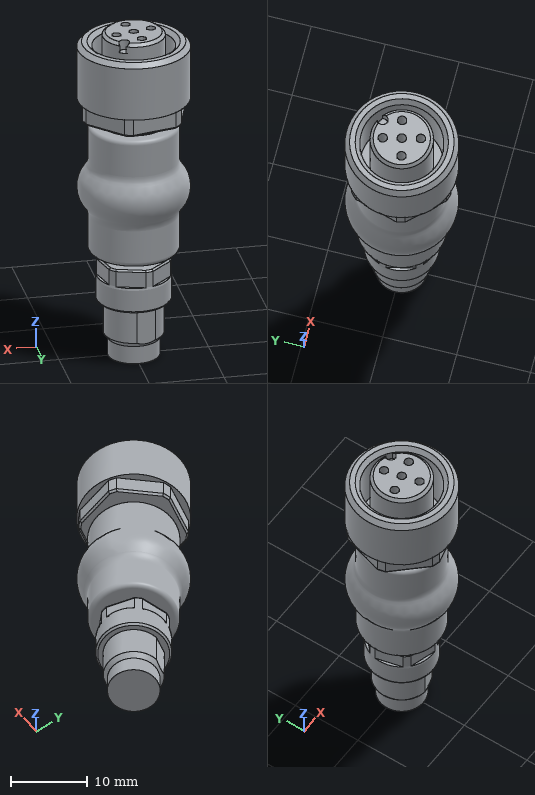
import cadquery as cq
import math


total_height = 46.2
clocking_angle = 13.4

grip_radius = 6.05
grip_bottom_z = 14.95
grip_top_z = 33.13
grip_edge_fillet = 0.65
bulge_radius = 7.5
bulge_arc_radius = 4.0
bulge_blend_radius = 2.0

upper_neck_radius = 4.3
lower_neck_radius = 2.9
insert_radius = 4.15
insert_chamfer = 0.4
contact_radius = 0.6
contact_circle_radius = 2.5
contact_depth = 4.6
key_radius = 0.7
key_offset = 3.6
key_angle = 45.0
key_depth = 1.4

coupling_radius = 7.5
coupling_bottom_z = 34.25
coupling_hex_top_z = 36.8
coupling_top_z = 44.8
coupling_chamfer = 0.65
coupling_bore_radius = 5.5
coupling_bore_chamfer = 0.6
coupling_hex_apothem = 6.5
coupling_hex_corner_radius = 7.2
coupling_hex_chamfer = 0.3
coupling_hex_angle = 30.0

screw_top_z = 13.85
screw_hex_apothem = 4.5
screw_hex_corner_radius = 4.9
screw_hex_chamfer = 0.25
collar_radius = 5.0
collar_bottom_z = 7.9
collar_top_z = 11.45
collar_top_chamfer_height = 0.32
collar_bottom_chamfer = 0.3
thread_radius = 4.0
thread_bottom_z = 3.2
thread_flat_offset = 3.8
nose_radius = 3.45
nose_top_z = 2.5


def cylinder(radius, bottom_z, top_z):
    return cq.Workplane("XY").workplane(offset=bottom_z).circle(radius).extrude(top_z - bottom_z)


def rounded_hexagon(apothem, corner_radius, bottom_z, top_z, angle):
    """Hexagonal prism with its corners turned down to a round; one flat faces the given angle."""
    corner_distance = apothem / math.cos(math.radians(30))
    hexagon = (
        cq.Workplane("XY")
        .workplane(offset=bottom_z)
        .polygon(6, 2 * corner_distance)
        .extrude(top_z - bottom_z)
        .rotate((0, 0, 0), (0, 0, 1), angle + 30)
    )
    return hexagon.intersect(cylinder(corner_radius, bottom_z, top_z))


def make_grip():
    """Revolved grip whose bulge is a convex arc blended tangentially into the straight ends."""
    middle_z = (grip_bottom_z + grip_top_z) / 2
    centre_distance = bulge_arc_radius + bulge_blend_radius
    bulge_centre_x = bulge_radius - bulge_arc_radius
    blend_centre_x = grip_radius + bulge_blend_radius
    blend_start = math.sqrt(centre_distance**2 - (blend_centre_x - bulge_centre_x) ** 2)
    blend_angle = math.atan2(blend_start, blend_centre_x - bulge_centre_x)
    tangent_x = bulge_centre_x + bulge_arc_radius * math.cos(blend_angle)
    tangent_rise = bulge_arc_radius * math.sin(blend_angle)
    blend_middle_x = blend_centre_x - bulge_blend_radius * math.cos(blend_angle / 2)
    blend_middle_rise = blend_start - bulge_blend_radius * math.sin(blend_angle / 2)

    grip = (
        cq.Workplane("XZ")
        .moveTo(0, grip_bottom_z)
        .lineTo(grip_radius, grip_bottom_z)
        .lineTo(grip_radius, middle_z - blend_start)
        .threePointArc((blend_middle_x, middle_z - blend_middle_rise), (tangent_x, middle_z - tangent_rise))
        .threePointArc((bulge_radius, middle_z), (tangent_x, middle_z + tangent_rise))
        .threePointArc((blend_middle_x, middle_z + blend_middle_rise), (grip_radius, middle_z + blend_start))
        .lineTo(grip_radius, grip_top_z)
        .lineTo(0, grip_top_z)
        .close()
        .revolve(360, (0, 0), (0, 1))
    )
    return grip.faces("<Z or >Z").edges().fillet(grip_edge_fillet)


def make_insert():
    """Socket insert with five contact holes and a coding keyway in its rim."""
    insert = cylinder(insert_radius, coupling_bottom_z, total_height)
    insert = insert.faces(">Z").edges().chamfer(insert_chamfer)
    contact_bottom_z = total_height - contact_depth
    contact = cylinder(contact_radius, contact_bottom_z, total_height)
    insert = insert.cut(contact)
    for index in range(4):
        outer_contact = contact.translate((contact_circle_radius, 0, 0))
        insert = insert.cut(outer_contact.rotate((0, 0, 0), (0, 0, 1), 90 * index))
    keyway = cylinder(key_radius, total_height - key_depth, total_height).translate((key_offset, 0, 0))
    return insert.cut(keyway.rotate((0, 0, 0), (0, 0, 1), key_angle))


def make_connector_body():
    upper_neck = cylinder(upper_neck_radius, grip_top_z, coupling_bottom_z)
    lower_neck = cylinder(lower_neck_radius, screw_top_z, grip_bottom_z)
    return make_grip().union(lower_neck).union(upper_neck).union(make_insert())


def make_coupling_nut():
    """Open-topped nut; its floor is the hexagon, bored to fit the insert and resting on the upper neck."""
    sleeve = cylinder(coupling_radius, coupling_hex_top_z, coupling_top_z)
    sleeve = sleeve.faces(">Z").edges().chamfer(coupling_chamfer)
    sleeve = sleeve.cut(cylinder(coupling_bore_radius, coupling_hex_top_z, coupling_top_z))
    bore_rim = sleeve.faces(">Z").edges(cq.selectors.RadiusNthSelector(0))
    sleeve = bore_rim.chamfer(coupling_bore_chamfer)
    hexagon = rounded_hexagon(
        coupling_hex_apothem,
        coupling_hex_corner_radius,
        coupling_bottom_z,
        coupling_hex_top_z,
        coupling_hex_angle,
    )
    hexagon = hexagon.faces("<Z").edges().chamfer(coupling_hex_chamfer)
    hexagon = hexagon.cut(cylinder(insert_radius, coupling_bottom_z, coupling_hex_top_z))
    return sleeve.union(hexagon)


def make_screw_nut():
    """Hexagon, collar, threaded shank with two opposite flats, and a plain nose."""
    hexagon = rounded_hexagon(screw_hex_apothem, screw_hex_corner_radius, collar_top_z, screw_top_z, 0)
    hexagon = hexagon.faces(">Z").edges().chamfer(screw_hex_chamfer)

    collar = cylinder(collar_radius, collar_bottom_z, collar_top_z)
    collar = collar.faces("<Z").edges().chamfer(collar_bottom_chamfer)
    collar_top_inset = collar_radius - screw_hex_corner_radius
    collar = collar.faces(">Z").edges().chamfer(collar_top_chamfer_height, collar_top_inset)

    shank = (
        cq.Workplane("XZ")
        .moveTo(0, nose_top_z)
        .lineTo(nose_radius, nose_top_z)
        .lineTo(thread_radius, thread_bottom_z)
        .lineTo(thread_radius, collar_bottom_z)
        .lineTo(0, collar_bottom_z)
        .close()
        .revolve(360, (0, 0), (0, 1))
    )
    flat_limits = (
        cq.Workplane("XY")
        .rect(2 * thread_radius, 2 * thread_flat_offset)
        .extrude(collar_bottom_z)
    )
    nose = cylinder(nose_radius, 0, nose_top_z)
    return hexagon.union(collar).union(shank.intersect(flat_limits)).union(nose)


def clocked(body):
    return body.rotate((0, 0, 0), (0, 0, 1), clocking_angle)


connector_body = clocked(make_connector_body())
coupling_nut = clocked(make_coupling_nut())
screw_nut = clocked(make_screw_nut())

result = cq.Compound.makeCompound([connector_body.val(), coupling_nut.val(), screw_nut.val()])